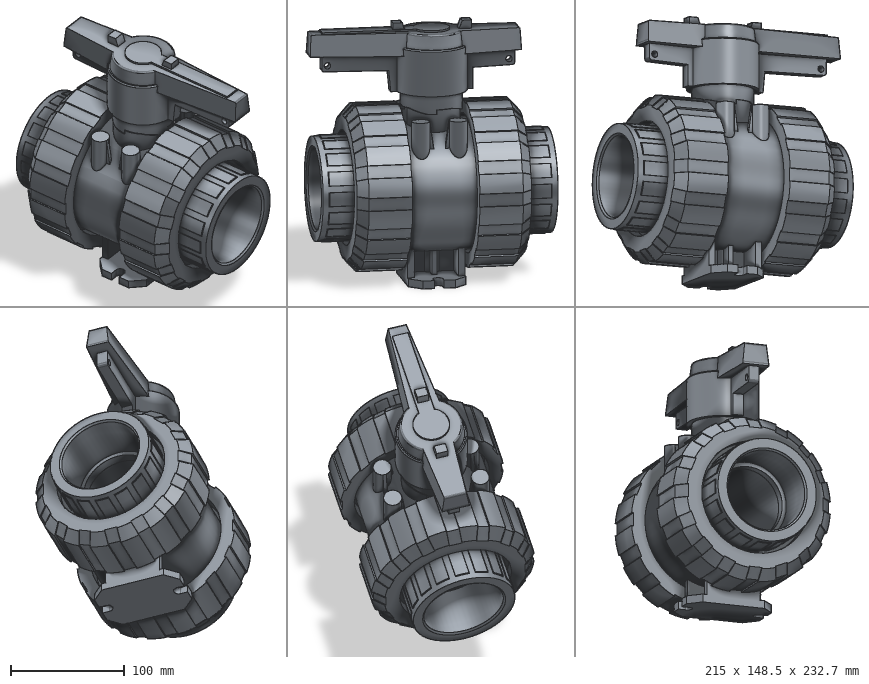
import cadquery as cq
import math


FULL_TURN = 360.0
TRIM_MARGIN = 2.3

BORE_DIA = 65.0
BARREL_DIA = 117.0
THREAD_DIA = 123.5
THREAD_START = 44.2
BARREL_END = 51.2

NUT_DIA = 149.0
NUT_MOUTH_DIA = 102.0
NUT_INNER = 30.0
NUT_OUTER = 78.0
NUT_BEVEL_START = 69.0
NUT_BEVEL_END_DIA = 130.0
NUT_LIP = 9.3
GROOVE_COUNT = 16
GROOVE_WIDTH = 11.6
GROOVE_DEPTH = 1.9
GROOVE_BEVEL_DEPTH = 1.5

CONNECTOR_END = 105.0
CONNECTOR_DIA = 93.1
SOCKET_DIA = 72.6
SOCKET_MOUTH_DIA = 76.0
SOCKET_MOUTH_LENGTH = 1.6
SOCKET_DEPTH = 45.5
PAD_COUNT = 16
PAD_WIDTH = 12.5
PAD_DIA = 94.5
PAD_CHAMFER = 0.58
PAD_OUTER = 99.7

NECK_DIA = 52.9
NECK_FLATS = 47.7
COLLAR_DIA = 54.7
COLLAR_BOTTOM = 68.7
COLLAR_TOP = 85.7
RAMP_RISE = 4.0
RAMP_COUNT = 4
RAMP_START = 33.0
RAMP_END = 72.0

POST_DIA = 16.0
POST_X = 16.8
POST_Y = 40.0
POST_TOP = 66.0
POST_RIB_WIDTH = 3.3
POST_RIB_REACH = 11.6
POST_RIB_FOOT = 40.7
POST_RIB_ANGLES = (180.0, 285.0)

FOOT_BOTTOM = -85.2
FOOT_THICKNESS = 7.2
FOOT_LENGTH_X = 51.5
FOOT_LENGTH_Y = 80.5
FOOT_CORNER = 11.2
SLOT_WIDTH = 8.5
SLOT_DEPTH = 11.2
PILLAR_THICKNESS = 6.0
PILLAR_WIDTH = 50.8
WEB_THICKNESS = 4.7
FOOT_BOSS_DIA = 13.5
FOOT_RIB_LENGTH = 32.5

HUB_DIA = 63.5
HUB_TOP = 127.1
HUB_CHAMFER = 1.2
CAP_BASE_DIA = 58.7
CAP_TOP_DIA = 55.2
CAP_FILLET = 1.5
HANDLE_TOP = 140.2
GRIP_LEFT = -78.5
GRIP_RIGHT = 110.0
GRIP_END_BOTTOM = 120.8
GRIP_MIDDLE_BOTTOM = 119.2
GRIP_HALF_WIDTH = 18.0
GRIP_NARROWING = 0.067
GRIP_DRAFT = 6.7
GRIP_LIP = 1.9
GRIP_END_LEAN = 1.0
GRIP_END_FILLET = 1.5
INLAY_DIA = 32.4
INLAY_WIDTH = 14.5
INLAY_END = 98.7
INLAY_HEIGHT = 1.6
LUG_WIDTH = 10.2
LUG_OUTER = 35.2
LUG_INNER_TOP = 26.8
LUG_INNER_BASE = 24.0
LUG_TOP = 147.5
PLATE_THICKNESS = 9.8
PLATE_LEFT = -73.8
PLATE_RIGHT = 98.7
PLATE_END_BOTTOM = 106.0
PLATE_STEP_BOTTOM = 104.8
PLATE_STEP_LEFT = -36.3
PLATE_STEP_RIGHT = 38.9
PLATE_FOOT_RIGHT = 37.0
PLATE_CORNER_RADIUS = 2.3
HOLE_DIA = 5.5
HOLE_INSET = 5.1
HOLE_Z = 111.3


def x_cylinder(diameter, x_start, x_end):
    return cq.Workplane("YZ", origin=(x_start, 0, 0)).circle(diameter / 2).extrude(x_end - x_start)


def z_cylinder(diameter, z_start, z_end, x=0.0, y=0.0):
    return cq.Workplane("XY", origin=(x, y, z_start)).circle(diameter / 2).extrude(z_end - z_start)


def z_block(length_x, length_y, z_start, z_end, x=0.0, y=0.0):
    plane = cq.Workplane("XY", origin=(x, y, z_start))
    return plane.rect(length_x, length_y).extrude(z_end - z_start)


def y_slab(points, width):
    """Closed (x, z) outline made `width` thick, centred on Y = 0."""
    return cq.Workplane("XZ").polyline(points).close().extrude(width / 2, both=True)


def turn_about_x(points):
    """Closed (x, radius) outline turned about the pipe axis."""
    return cq.Workplane("XY").polyline(points).close().revolve(FULL_TURN, (0, 0, 0), (1, 0, 0))


def mirrored_ends(shape):
    """The +X part and its mirror image at -X."""
    return [shape, shape.mirror("YZ")]


def make_barrel():
    barrel = x_cylinder(BARREL_DIA, -BARREL_END, BARREL_END)
    for thread in mirrored_ends(x_cylinder(THREAD_DIA, THREAD_START, BARREL_END)):
        barrel = barrel.union(thread)
    return barrel


def make_neck():
    neck = z_cylinder(NECK_DIA, 0, COLLAR_TOP)
    return neck.intersect(z_block(NECK_FLATS, COLLAR_DIA, 0, COLLAR_TOP))


def make_collar_relief():
    """Cutter for one quarter of the collar: a level stretch, then a ramp down to the lower edge."""
    reach = COLLAR_DIA / 2 + TRIM_MARGIN
    low = COLLAR_BOTTOM - TRIM_MARGIN
    high = COLLAR_BOTTOM + RAMP_RISE
    flat_angle = math.radians(RAMP_START)
    level_part = (
        cq.Workplane("XY", origin=(0, 0, low))
        .polyline([(0, 0), (reach, 0), (reach, reach * math.tan(flat_angle))])
        .close()
        .extrude(high - low)
    )
    half_ramp = math.radians((RAMP_END - RAMP_START) / 2)
    half_length = (COLLAR_DIA + NECK_DIA) / 4 * math.sin(half_ramp)
    overlap = -2 * half_length
    ramp_outline = [
        (overlap, low),
        (half_length, low),
        (half_length, COLLAR_BOTTOM),
        (-half_length, high),
        (overlap, high),
    ]
    ramp_middle = (RAMP_START + RAMP_END) / 2
    ramp_part = (
        cq.Workplane("YZ").polyline(ramp_outline).close().extrude(reach)
        .rotate((0, 0, 0), (0, 0, 1), ramp_middle)
    )
    quarter = cq.Workplane("XY", origin=(0, 0, low)).rect(reach, reach, centered=False).extrude(high - low)
    return level_part.union(ramp_part).intersect(quarter)


def make_collar():
    collar = z_cylinder(COLLAR_DIA, COLLAR_BOTTOM, COLLAR_TOP)
    relief = make_collar_relief()
    for index in range(RAMP_COUNT):
        angle = index * FULL_TURN / RAMP_COUNT
        collar = collar.cut(relief.rotate((0, 0, 0), (0, 0, 1), angle))
    return collar


def make_post():
    """Post at +X +Y with its two tapered ribs."""
    post = z_cylinder(POST_DIA, 0, POST_TOP)
    rib_outline = [
        (0, 0),
        (POST_RIB_REACH, 0),
        (POST_RIB_REACH, POST_RIB_FOOT),
        (POST_DIA / 2, POST_TOP),
        (0, POST_TOP),
    ]
    rib = y_slab(rib_outline, POST_RIB_WIDTH)
    for angle in POST_RIB_ANGLES:
        post = post.union(rib.rotate((0, 0, 0), (0, 0, 1), angle))
    return post.translate((POST_X, POST_Y, 0))


def make_foot():
    plate_top = FOOT_BOTTOM + FOOT_THICKNESS
    foot = z_block(FOOT_LENGTH_X, FOOT_LENGTH_Y, FOOT_BOTTOM, plate_top).edges("|Z").chamfer(FOOT_CORNER)
    slot_length = 2 * SLOT_DEPTH
    for side in (-1, 1):
        slot = (
            cq.Workplane("XY", origin=(0, side * FOOT_LENGTH_Y / 2, FOOT_BOTTOM))
            .slot2D(slot_length, SLOT_WIDTH, 90)
            .extrude(FOOT_THICKNESS)
        )
        foot = foot.cut(slot)
    pillar_x = (FOOT_LENGTH_X - PILLAR_THICKNESS) / 2
    for side in (-1, 1):
        foot = foot.union(z_block(PILLAR_THICKNESS, PILLAR_WIDTH, plate_top, 0, side * pillar_x))
    foot = foot.union(z_block(FOOT_LENGTH_X, WEB_THICKNESS, plate_top, 0))
    foot = foot.union(z_block(WEB_THICKNESS, FOOT_RIB_LENGTH, plate_top, 0))
    return foot.union(z_cylinder(FOOT_BOSS_DIA, plate_top, 0))


def make_body():
    body = make_barrel()
    body = body.union(make_neck()).union(make_collar())
    post = make_post()
    for row in (post, post.mirror("XZ")):
        for corner_post in mirrored_ends(row):
            body = body.union(corner_post)
    body = body.union(make_foot())
    return body.cut(x_cylinder(BORE_DIA, -BARREL_END, BARREL_END))


def make_nut():
    """Nut at +X: bevelled ring with a lip and grip grooves all round."""
    rim = NUT_DIA / 2
    bevel_end = NUT_BEVEL_END_DIA / 2
    nut = turn_about_x(
        [
            (NUT_INNER, THREAD_DIA / 2),
            (NUT_INNER, rim),
            (NUT_BEVEL_START, rim),
            (NUT_OUTER, bevel_end),
            (NUT_OUTER, NUT_MOUTH_DIA / 2),
            (NUT_OUTER - NUT_LIP, NUT_MOUTH_DIA / 2),
            (NUT_OUTER - NUT_LIP, THREAD_DIA / 2),
        ]
    )
    groove_outline = [
        (NUT_INNER, rim - GROOVE_DEPTH),
        (NUT_BEVEL_START, rim - GROOVE_DEPTH),
        (NUT_OUTER, bevel_end - GROOVE_BEVEL_DEPTH),
        (NUT_OUTER, rim + TRIM_MARGIN),
        (NUT_INNER, rim + TRIM_MARGIN),
    ]
    groove = y_slab(groove_outline, GROOVE_WIDTH)
    for index in range(GROOVE_COUNT):
        nut = nut.cut(groove.rotate((0, 0, 0), (1, 0, 0), index * FULL_TURN / GROOVE_COUNT))
    return nut


def make_pads():
    """Raised pads round the pipe end, running into the nut."""
    pad_start = NUT_OUTER - NUT_LIP
    ring = x_cylinder(PAD_DIA, pad_start, PAD_OUTER).faces(">X").edges().chamfer(PAD_CHAMFER)
    pad_length = PAD_OUTER - pad_start
    bar = cq.Workplane("XY").box(pad_length, PAD_WIDTH, PAD_DIA / 2, centered=(False, True, False))
    bar = bar.translate((pad_start, 0, 0))
    pads = bar
    for index in range(1, PAD_COUNT):
        pads = pads.union(bar.rotate((0, 0, 0), (1, 0, 0), index * FULL_TURN / PAD_COUNT))
    return pads.intersect(ring)


def make_connector():
    """Pipe end at +X with a flange held behind the lip of the nut."""
    flange_end = NUT_OUTER - NUT_LIP
    connector = x_cylinder(THREAD_DIA, BARREL_END, flange_end)
    connector = connector.union(x_cylinder(CONNECTOR_DIA, flange_end, CONNECTOR_END))
    connector = connector.union(make_pads())
    socket_floor = CONNECTOR_END - SOCKET_DEPTH
    passage = turn_about_x(
        [
            (BARREL_END, 0),
            (BARREL_END, BORE_DIA / 2),
            (socket_floor, BORE_DIA / 2),
            (socket_floor, SOCKET_DIA / 2),
            (CONNECTOR_END - SOCKET_MOUTH_LENGTH, SOCKET_DIA / 2),
            (CONNECTOR_END, SOCKET_MOUTH_DIA / 2),
            (CONNECTOR_END, 0),
        ]
    )
    return connector.cut(passage)


def make_hub():
    hub = z_cylinder(HUB_DIA, COLLAR_TOP, HUB_TOP).faces(">Z").edges().chamfer(HUB_CHAMFER)
    cap = (
        cq.Workplane("XY", origin=(0, 0, HUB_TOP))
        .circle(CAP_BASE_DIA / 2)
        .workplane(offset=HANDLE_TOP - HUB_TOP)
        .circle(CAP_TOP_DIA / 2)
        .loft()
        .faces(">Z")
        .edges()
        .fillet(CAP_FILLET)
    )
    return hub.union(cap)


def make_grip():
    """Long bar that narrows towards both ends, with leaning sides and a slightly sloped underside."""
    side_outline = [
        (GRIP_LEFT, GRIP_END_BOTTOM),
        (0, GRIP_MIDDLE_BOTTOM),
        (GRIP_RIGHT, GRIP_END_BOTTOM),
        (GRIP_RIGHT, GRIP_END_BOTTOM + GRIP_LIP),
        (GRIP_RIGHT - GRIP_END_LEAN, HANDLE_TOP),
        (GRIP_LEFT + GRIP_END_LEAN, HANDLE_TOP),
        (GRIP_LEFT, GRIP_END_BOTTOM + GRIP_LIP),
    ]
    bar = y_slab(side_outline, 2 * GRIP_HALF_WIDTH)
    bar = bar.faces(">Z").edges("|Y").fillet(GRIP_END_FILLET)
    reach = GRIP_RIGHT + 2 * TRIM_MARGIN
    end_half_width = GRIP_HALF_WIDTH - GRIP_NARROWING * reach
    plan = (
        cq.Workplane("XY", origin=(0, 0, GRIP_MIDDLE_BOTTOM))
        .polyline(
            [
                (-reach, -end_half_width),
                (0, -GRIP_HALF_WIDTH),
                (reach, -end_half_width),
                (reach, end_half_width),
                (0, GRIP_HALF_WIDTH),
                (-reach, end_half_width),
            ]
        )
        .close()
        .extrude(HANDLE_TOP - GRIP_MIDDLE_BOTTOM, taper=GRIP_DRAFT)
    )
    return bar.intersect(plan)


def make_inlay():
    """Raised disc with a long tongue on top of the grip."""
    top = HANDLE_TOP + INLAY_HEIGHT
    disc = z_cylinder(INLAY_DIA, HANDLE_TOP, top)
    return disc.union(z_block(INLAY_END, INLAY_WIDTH, HANDLE_TOP, top, INLAY_END / 2))


def make_lug():
    return y_slab(
        [
            (LUG_INNER_BASE, HANDLE_TOP),
            (LUG_OUTER, HANDLE_TOP),
            (LUG_OUTER, LUG_TOP),
            (LUG_INNER_TOP, LUG_TOP),
        ],
        LUG_WIDTH,
    )


def make_plate():
    """Upright plate under the grip with a hole near each end."""
    outline = [
        (PLATE_LEFT, GRIP_END_BOTTOM),
        (PLATE_LEFT, PLATE_END_BOTTOM),
        (PLATE_STEP_LEFT, PLATE_STEP_BOTTOM),
        (PLATE_STEP_LEFT, COLLAR_TOP),
        (PLATE_FOOT_RIGHT, COLLAR_TOP),
        (PLATE_STEP_RIGHT, PLATE_STEP_BOTTOM),
        (PLATE_RIGHT, PLATE_END_BOTTOM),
        (PLATE_RIGHT, GRIP_END_BOTTOM),
    ]
    plate = y_slab(outline, PLATE_THICKNESS)
    for x in (PLATE_LEFT, PLATE_RIGHT):
        corner = cq.selectors.NearestToPointSelector((x, 0, PLATE_END_BOTTOM))
        plate = plate.edges("|Y").edges(corner).fillet(PLATE_CORNER_RADIUS)
    for x in (PLATE_LEFT + HOLE_INSET, PLATE_RIGHT - HOLE_INSET):
        hole = (
            cq.Workplane("XZ", origin=(x, 0, HOLE_Z))
            .circle(HOLE_DIA / 2)
            .extrude(PLATE_THICKNESS, both=True)
        )
        plate = plate.cut(hole)
    return plate


def make_handle():
    handle = make_hub().union(make_plate()).union(make_grip()).union(make_inlay())
    for lug in mirrored_ends(make_lug()):
        handle = handle.union(lug)
    return handle


body = make_body()
handle = make_handle()
nuts = mirrored_ends(make_nut())
connectors = mirrored_ends(make_connector())

result = cq.Compound.makeCompound(
    [
        body.val(),
        handle.val(),
        *[nut.val() for nut in nuts],
        *[connector.val() for connector in connectors],
    ]
)